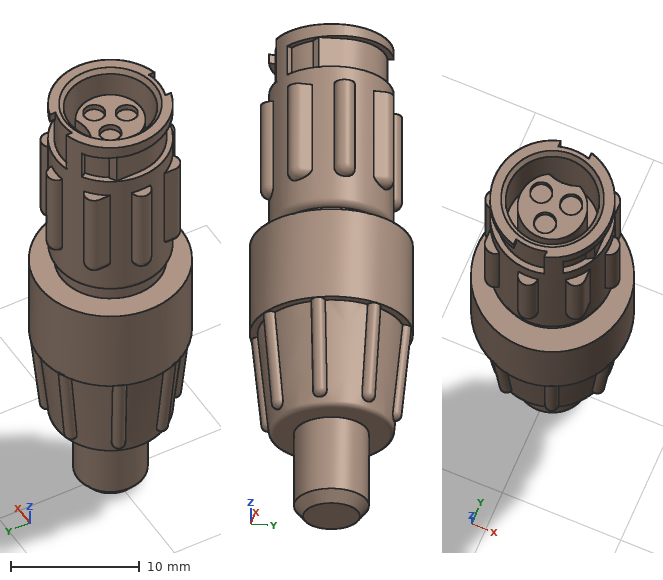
import math

import cadquery as cq


TOTAL_HEIGHT = 40.64
CABLE_CHAMFER_HEIGHT = 0.9
CONE_BOTTOM = 7.16
COLLAR_BOTTOM = 15.95
COLLAR_TOP = 23.6
SLEEVE_BOTTOM = 24.8
BAYONET_BOTTOM = 36.92

CABLE_RADIUS = 2.92
CABLE_CHAMFER = 0.72
CONE_BOTTOM_RADIUS = 4.86
CONE_TOP_RADIUS = 5.75
CONE_ROUND = 0.4
COLLAR_RADIUS = 12.7 / 2
NECK_RADIUS = 4.375
SLEEVE_RADIUS = 4.86
SLEEVE_ROUND = 0.6

CONE_RIB_COUNT = 8
CONE_RIB_RADIUS = 0.55
CONE_RIB_OVERLAP = 0.2
CONE_RIB_BOTTOM = 8.46
CONE_RIB_FIRST_ANGLE = 180 / CONE_RIB_COUNT

GRIP_RIB_COUNT = 8
GRIP_RIB_RADIUS = 0.82
GRIP_RIB_PITCH_RADIUS = 4.79
GRIP_RIB_BOTTOM = 27.33
GRIP_RIB_ROUND = 0.75
GRIP_RIB_TOP = 35.42

SOCKET_RADIUS = 3.64
SOCKET_DEPTH = 6.0
MOUTH_RADIUS = 4.0
MOUTH_CHAMFER = MOUTH_RADIUS - SOCKET_RADIUS
INSERT_RADIUS = 2.72
INSERT_RECESS = 1.73
KEYWAY_RADIUS = 3.1
KEYWAY_BOTTOM_Y = 2.12
CONTACT_COUNT = 3
CONTACT_RADIUS = 0.87
CONTACT_PITCH_RADIUS = 1.46
CONTACT_DEPTH = 0.5

SLOT_CLEARANCE = 1.0
ENTRANCE_WIDTH = 2.58
TRACK_END_ANGLE = 123.0
CEILING_MID_DEPTH = 1.0
CEILING_SLOPE = 0.05
DETENT_LENGTH = 1.94
DETENT_FOOT = (-3.8, 2.28)


def at_angle(radius, angle):
    """Point at a radius and an angle in degrees in the XY plane."""
    return (radius * math.cos(math.radians(angle)), radius * math.sin(math.radians(angle)))


def disc(radius, bottom, top, center=(0, 0)):
    """Upright cylinder between two heights."""
    return cq.Workplane("XY", origin=(*center, bottom)).circle(radius).extrude(top - bottom)


def make_body():
    """Turned solid: cable stub, cone, collar, neck and sleeve."""
    cable = disc(CABLE_RADIUS, 0, CONE_BOTTOM)
    cable = cable.faces("<Z").chamfer(CABLE_CHAMFER_HEIGHT, CABLE_CHAMFER)
    cone = (
        cq.Workplane("XY", origin=(0, 0, CONE_BOTTOM))
        .circle(CONE_BOTTOM_RADIUS)
        .workplane(offset=COLLAR_BOTTOM - CONE_BOTTOM)
        .circle(CONE_TOP_RADIUS)
        .loft(ruled=True)
        .faces("<Z")
        .edges()
        .fillet(CONE_ROUND)
    )
    collar = disc(COLLAR_RADIUS, COLLAR_BOTTOM, COLLAR_TOP)
    neck = disc(NECK_RADIUS, COLLAR_TOP, BAYONET_BOTTOM)
    sleeve = disc(SLEEVE_RADIUS, SLEEVE_BOTTOM, TOTAL_HEIGHT)
    sleeve = sleeve.faces("<Z").edges().fillet(SLEEVE_ROUND)
    return cable.union(cone).union(collar).union(neck).union(sleeve)


def make_cone_rib():
    """Rib in the XZ plane whose axis lies on the cone surface."""
    slope = (CONE_TOP_RADIUS - CONE_BOTTOM_RADIUS) / (COLLAR_BOTTOM - CONE_BOTTOM)
    start_radius = CONE_BOTTOM_RADIUS + slope * (CONE_RIB_BOTTOM - CONE_BOTTOM)
    start = (start_radius, 0, CONE_RIB_BOTTOM)
    axis_length = (COLLAR_BOTTOM - CONE_RIB_BOTTOM) * math.hypot(1, slope) + CONE_RIB_OVERLAP
    plane = cq.Plane(origin=start, xDir=(0, 1, 0), normal=(slope, 0, 1))
    shaft = cq.Workplane(plane).circle(CONE_RIB_RADIUS).extrude(axis_length)
    return shaft.union(cq.Workplane("XY").sphere(CONE_RIB_RADIUS).translate(start))


def make_grip_rib(angle):
    """Round grip rib with a rounded lower end; diagonal ribs get a flat side facing along X."""
    x, y = at_angle(GRIP_RIB_PITCH_RADIUS, angle)
    rib = disc(GRIP_RIB_RADIUS, GRIP_RIB_BOTTOM, GRIP_RIB_TOP, (x, y))
    if angle % 90 != 0:
        flat_x = x + math.copysign(GRIP_RIB_RADIUS, x)
        filler = (
            cq.Workplane("XY", origin=(0, 0, GRIP_RIB_BOTTOM))
            .moveTo(flat_x, y)
            .lineTo(flat_x, y / 2)
            .lineTo(2 * x - flat_x, y / 2)
            .lineTo(2 * x - flat_x, y)
            .close()
            .extrude(GRIP_RIB_TOP - GRIP_RIB_BOTTOM)
        )
        rib = rib.union(filler)
    return rib.faces("<Z").edges().fillet(GRIP_RIB_ROUND)


def make_bayonet_slot():
    """Cutter for the entrance at -Y and the ramped track round the -X side."""
    outer_radius = SLEEVE_RADIUS + SLOT_CLEARANCE
    ring = disc(outer_radius, BAYONET_BOTTOM, TOTAL_HEIGHT)
    ring = ring.cut(disc(NECK_RADIUS, BAYONET_BOTTOM, TOTAL_HEIGHT))

    entrance = (
        cq.Workplane("XY", origin=(0, -outer_radius / 2, BAYONET_BOTTOM))
        .rect(ENTRANCE_WIDTH, outer_radius)
        .extrude(TOTAL_HEIGHT - BAYONET_BOTTOM)
    )

    ceiling_mid = TOTAL_HEIGHT - CEILING_MID_DEPTH
    ceiling_rise = CEILING_SLOPE * outer_radius
    track = (
        cq.Workplane("YZ")
        .moveTo(-outer_radius, BAYONET_BOTTOM)
        .lineTo(outer_radius, BAYONET_BOTTOM)
        .lineTo(outer_radius, ceiling_mid - ceiling_rise)
        .lineTo(-outer_radius, ceiling_mid + ceiling_rise)
        .close()
        .extrude(-outer_radius)
    )
    end_wall = (
        cq.Workplane("XY", origin=(0, 0, BAYONET_BOTTOM))
        .lineTo(*at_angle(2 * outer_radius, TRACK_END_ANGLE))
        .lineTo(0, 2 * outer_radius)
        .close()
        .extrude(TOTAL_HEIGHT - BAYONET_BOTTOM)
    )
    detent = (
        cq.Workplane("XY", origin=(0, 0, BAYONET_BOTTOM))
        .lineTo(-NECK_RADIUS, 0)
        .lineTo(-NECK_RADIUS, DETENT_LENGTH)
        .lineTo(*DETENT_FOOT)
        .close()
        .extrude(TOTAL_HEIGHT - BAYONET_BOTTOM)
    )
    return ring.intersect(entrance.union(track.cut(end_wall).cut(detent)))


def make_socket():
    """Cutter for the chamfered socket, leaving the contact insert standing inside."""
    insert_top = TOTAL_HEIGHT - INSERT_RECESS
    floor = TOTAL_HEIGHT - SOCKET_DEPTH
    socket = disc(SOCKET_RADIUS, floor, TOTAL_HEIGHT)
    mouth = (
        cq.Workplane("XY", origin=(0, 0, TOTAL_HEIGHT))
        .circle(MOUTH_RADIUS)
        .workplane(offset=-MOUTH_CHAMFER)
        .circle(SOCKET_RADIUS)
        .loft(ruled=True)
    )

    insert = disc(INSERT_RADIUS, floor, insert_top)
    insert = insert.cut(disc(KEYWAY_RADIUS, floor, insert_top, (0, KEYWAY_BOTTOM_Y + KEYWAY_RADIUS)))
    for index in range(CONTACT_COUNT):
        center = at_angle(CONTACT_PITCH_RADIUS, 360 * index / CONTACT_COUNT - 90)
        insert = insert.cut(disc(CONTACT_RADIUS, insert_top - CONTACT_DEPTH, insert_top, center))
    return socket.union(mouth).cut(insert)


def rotated(shape, angle):
    """Copy of a shape turned about the plug axis."""
    return shape.rotate((0, 0, 0), (0, 0, 1), angle)


result = make_body()

cone_rib = make_cone_rib()
for index in range(CONE_RIB_COUNT):
    result = result.union(rotated(cone_rib, CONE_RIB_FIRST_ANGLE + 360 * index / CONE_RIB_COUNT))

for index in range(GRIP_RIB_COUNT):
    result = result.union(make_grip_rib(360 * index / GRIP_RIB_COUNT))

bayonet_slot = make_bayonet_slot()
for angle in (0, 180):
    result = result.cut(rotated(bayonet_slot, angle))

result = result.cut(make_socket())